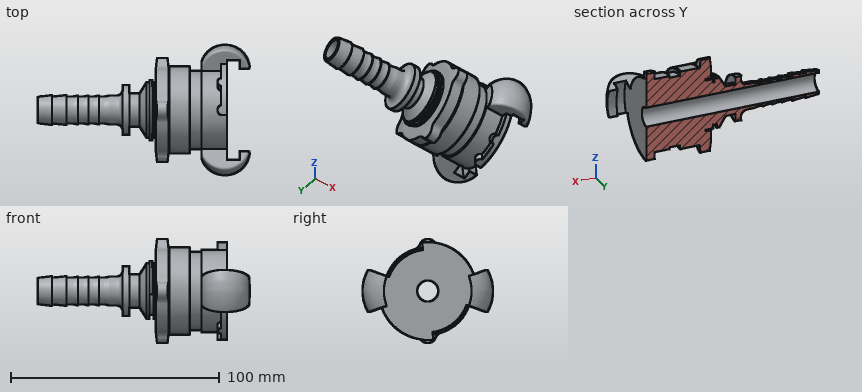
import cadquery as cq
import math


BORE_D = 10.0

TIP_CHAMFER = 0.7
TIP_R = 6.2
BARB_ROOT_R = 6.5
LARGE_BARB_R = 7.2
LARGE_BARB_ENDS = (6.9, 13.9)
TAIL_R = 7.0
SMALL_BARB_START = 17.0
SMALL_BARB_COUNT = 4
SMALL_BARB_PITCH = 5.0
SMALL_BARB_LENGTH = 2.4
TAIL_FILLET_R = 3.0

STOP_X = 40.8
STOP_WIDTH = 3.2
STOP_R = 12.0
NECK_R = 8.1
CONE_X = 48.9
HEAD_X = 52.2
HEAD_R = 13.4
RING_GROOVE_X = 53.6
RING_GROOVE_WIDTH = 1.9
RING_GROOVE_R = 11.5

RING_R = 14.5
RING_WIDTH = 1.4
RING_GAP_START = 187.0
RING_GAP_END = 307.0

NUT_X = 56.5
NUT_END_X = 63.0
NUT_R = 21.0
NUT_FACE_R = 19.0
NUT_BORE_R = 13.9
NUT_BORE_DEPTH = 3.0
LOBE_COUNT = 4
LOBE_R = 4.0
LOBE_FILLET_R = 4.0
NUT_OUTER_R = NUT_R + LOBE_R
NUT_FACE_SETBACK = 0.7
NUT_FACE_SLOPE = NUT_FACE_SETBACK / (NUT_OUTER_R - NUT_FACE_R)

BODY_END_X = 73.0
BODY_R = 21.0
BODY_CHAMFER = 0.3
BODY_NECK_R = 18.9
COLLAR_X = 78.5
COLLAR_R = 19.8
MOUTH_X = 90.8

TOTAL_LENGTH = 101.74
CLAW_TOP_R = 31.435
CLAW_ARC_R = 12.0
CLAW_ARC_Y = CLAW_TOP_R - CLAW_ARC_R
CLAW_CROWN_AXIS_Y = 11.5
CLAW_HALF_ANGLE = 20.0
CLAW_FILLET_R = 1.0
HOOK_TIP_R = 21.0
HOOK_SLOT_R = 25.3
HOOK_SLOT_WIDTH = 6.1
CLAW_ARC_X = TOTAL_LENGTH - math.sqrt(CLAW_ARC_R**2 - (HOOK_TIP_R - CLAW_ARC_Y) ** 2)

LOCK_FLANGE_R = 23.5
LOCK_FLANGE_WIDTH = 2.8
LUG_R = 2.5
LUG_X = 88.7
LUG_ANGLES = (0.0, 35.0)

OVERLAP = 1.0


def axial_cylinder(x_start, x_end, radius):
    return cq.Workplane("YZ", origin=(x_start, 0, 0)).circle(radius).extrude(x_end - x_start)


def revolve_about_x(profile):
    return profile.close().revolve(360, (0, 0, 0), (1, 0, 0))


def about_x(shape, angle):
    return shape.rotate((0, 0, 0), (1, 0, 0), angle)


def make_hose_tail():
    profile = (
        cq.Workplane("XY")
        .moveTo(0, 0)
        .lineTo(0, TIP_R)
        .lineTo(TIP_CHAMFER, BARB_ROOT_R)
    )
    for barb_end in LARGE_BARB_ENDS:
        profile = profile.lineTo(barb_end, LARGE_BARB_R).lineTo(barb_end, BARB_ROOT_R)
    for index in range(SMALL_BARB_COUNT):
        barb_start = SMALL_BARB_START + index * SMALL_BARB_PITCH
        barb_end = barb_start + SMALL_BARB_LENGTH
        profile = profile.lineTo(barb_start, BARB_ROOT_R).lineTo(barb_end, TAIL_R)
        if index < SMALL_BARB_COUNT - 1:
            profile = profile.lineTo(barb_end, BARB_ROOT_R)
    fillet_start = STOP_X - TAIL_FILLET_R
    fillet_mid_offset = TAIL_FILLET_R * math.sin(math.radians(45))
    profile = (
        profile.lineTo(fillet_start, TAIL_R)
        .threePointArc(
            (fillet_start + fillet_mid_offset, TAIL_R + TAIL_FILLET_R - fillet_mid_offset),
            (STOP_X, TAIL_R + TAIL_FILLET_R),
        )
        .lineTo(STOP_X, STOP_R)
        .lineTo(STOP_X + STOP_WIDTH, STOP_R)
        .lineTo(STOP_X + STOP_WIDTH, NECK_R)
        .lineTo(CONE_X, NECK_R)
        .lineTo(HEAD_X, HEAD_R)
        .lineTo(RING_GROOVE_X, HEAD_R)
        .lineTo(RING_GROOVE_X, RING_GROOVE_R)
        .lineTo(RING_GROOVE_X + RING_GROOVE_WIDTH, RING_GROOVE_R)
        .lineTo(RING_GROOVE_X + RING_GROOVE_WIDTH, HEAD_R)
        .lineTo(NUT_X + NUT_BORE_DEPTH, HEAD_R)
        .lineTo(NUT_X + NUT_BORE_DEPTH, 0)
    )
    return revolve_about_x(profile)


def make_snap_ring():
    ring_inner_r = RING_GROOVE_R - OVERLAP
    arc_angle = 360 - (RING_GAP_END - RING_GAP_START)
    ring = (
        cq.Workplane("XY")
        .moveTo(RING_GROOVE_X, ring_inner_r)
        .lineTo(RING_GROOVE_X, RING_R)
        .lineTo(RING_GROOVE_X + RING_WIDTH, RING_R)
        .lineTo(RING_GROOVE_X + RING_WIDTH, ring_inner_r)
        .close()
        .revolve(arc_angle, (0, 0, 0), (1, 0, 0))
    )
    return about_x(ring, RING_GAP_END)


def make_lobe(blend_y, blend_z):
    """One rounded lobe on +Z whose flanks blend into the nut rim with concave arcs."""
    lobe_share = LOBE_R / (LOBE_R + LOBE_FILLET_R)
    flank_y = blend_y * lobe_share
    flank_z = NUT_R + (blend_z - NUT_R) * lobe_share
    rim_share = NUT_R / (NUT_R + LOBE_FILLET_R)
    rim_y = blend_y * rim_share
    rim_z = blend_z * rim_share
    chord_y = (flank_y + rim_y) / 2 - blend_y
    chord_z = (flank_z + rim_z) / 2 - blend_z
    reach = LOBE_FILLET_R / math.hypot(chord_y, chord_z)
    blend_mid_y = blend_y + chord_y * reach
    blend_mid_z = blend_z + chord_z * reach
    return (
        cq.Workplane("YZ", origin=(NUT_X, 0, 0))
        .moveTo(0, 0)
        .lineTo(-rim_y, rim_z)
        .threePointArc((-blend_mid_y, blend_mid_z), (-flank_y, flank_z))
        .threePointArc((0, NUT_OUTER_R), (flank_y, flank_z))
        .threePointArc((blend_mid_y, blend_mid_z), (rim_y, rim_z))
        .close()
        .extrude(NUT_END_X - NUT_X)
    )


def make_nut():
    """Lobed nut with a clearance bore round the swivel head."""
    nut = axial_cylinder(NUT_X, NUT_END_X, NUT_R)
    blend_distance = NUT_R + LOBE_FILLET_R
    lobe_distance = LOBE_R + LOBE_FILLET_R
    blend_z = (blend_distance**2 + NUT_R**2 - lobe_distance**2) / (2 * NUT_R)
    blend_y = math.sqrt(blend_distance**2 - blend_z**2)
    lobe = make_lobe(blend_y, blend_z)
    for index in range(LOBE_COUNT):
        nut = nut.union(about_x(lobe, index * 360 / LOBE_COUNT))

    limit_r = NUT_OUTER_R + OVERLAP
    setback = (limit_r - NUT_FACE_R) * NUT_FACE_SLOPE
    face_cones = (
        cq.Workplane("XY")
        .moveTo(NUT_X, 0)
        .lineTo(NUT_X, NUT_FACE_R)
        .lineTo(NUT_X + setback, limit_r)
        .lineTo(NUT_END_X - setback, limit_r)
        .lineTo(NUT_END_X, NUT_FACE_R)
        .lineTo(NUT_END_X, 0)
    )
    nut = nut.intersect(revolve_about_x(face_cones))
    return nut.cut(axial_cylinder(NUT_X, NUT_X + NUT_BORE_DEPTH, NUT_BORE_R))


def make_body():
    wide = axial_cylinder(NUT_END_X, BODY_END_X, BODY_R).edges().chamfer(BODY_CHAMFER)
    neck = axial_cylinder(NUT_END_X, COLLAR_X, BODY_NECK_R)
    collar = axial_cylinder(COLLAR_X, MOUTH_X, COLLAR_R)
    return wide.union(neck).union(collar)


def make_claw():
    """Hooked claw on the +Y side, crowned outside, with radial flanks."""
    arc_left_x = CLAW_ARC_X - CLAW_ARC_R
    arc_right_x = CLAW_ARC_X + CLAW_ARC_R
    crowned = (
        cq.Workplane("XY")
        .moveTo(arc_left_x, CLAW_CROWN_AXIS_Y)
        .lineTo(arc_left_x, CLAW_ARC_Y)
        .threePointArc((CLAW_ARC_X, CLAW_TOP_R), (arc_right_x, CLAW_ARC_Y))
        .lineTo(arc_right_x, CLAW_CROWN_AXIS_Y)
        .close()
        .revolve(360, (0, CLAW_CROWN_AXIS_Y, 0), (1, CLAW_CROWN_AXIS_Y, 0))
    )
    wedge_y = CLAW_TOP_R + OVERLAP
    wedge_z = wedge_y * math.tan(math.radians(CLAW_HALF_ANGLE))
    wedge = (
        cq.Workplane("YZ", origin=(arc_left_x - OVERLAP, 0, 0))
        .polyline([(0, 0), (wedge_y, wedge_z), (wedge_y, -wedge_z)])
        .close()
        .extrude(arc_right_x - arc_left_x + 2 * OVERLAP)
    )
    claw = crowned.intersect(wedge)
    outer_rims = claw.edges(cq.selectors.BoxSelector(
        (CLAW_ARC_X - OVERLAP, CLAW_ARC_Y, -wedge_z),
        (CLAW_ARC_X + OVERLAP, wedge_y, wedge_z),
    ))
    claw = outer_rims.fillet(CLAW_FILLET_R)
    claw = claw.cut(axial_cylinder(arc_left_x - OVERLAP, COLLAR_X, wedge_y))
    claw = claw.cut(axial_cylinder(MOUTH_X, MOUTH_X + HOOK_SLOT_WIDTH, HOOK_SLOT_R))
    return claw.cut(axial_cylinder(MOUTH_X, arc_right_x + OVERLAP, HOOK_TIP_R))


def make_lock_flange():
    """Flange segment from the first lug at the top round to the +Y claw."""
    segment = cq.Workplane("XY").box(
        LOCK_FLANGE_WIDTH, LOCK_FLANGE_R, LOCK_FLANGE_R, centered=False
    ).translate((MOUTH_X - LOCK_FLANGE_WIDTH, 0, 0))
    flat_end = cq.Workplane("XY").box(
        MOUTH_X - LUG_X, LUG_R, LOCK_FLANGE_R, centered=False
    ).translate((LUG_X, -LUG_R, 0))
    segment = segment.union(flat_end)
    lug = cq.Workplane("XY").center(LUG_X, 0).circle(LUG_R).extrude(LOCK_FLANGE_R)
    for angle in LUG_ANGLES:
        segment = segment.union(about_x(lug, -angle))
    return segment.intersect(axial_cylinder(COLLAR_X, MOUTH_X, LOCK_FLANGE_R))


result = make_hose_tail().union(make_snap_ring()).union(make_nut()).union(make_body())
claw_side = make_claw().union(make_lock_flange())
for side_angle in (0, 180):
    result = result.union(about_x(claw_side, side_angle))
result = result.cut(axial_cylinder(0, MOUTH_X, BORE_D / 2))